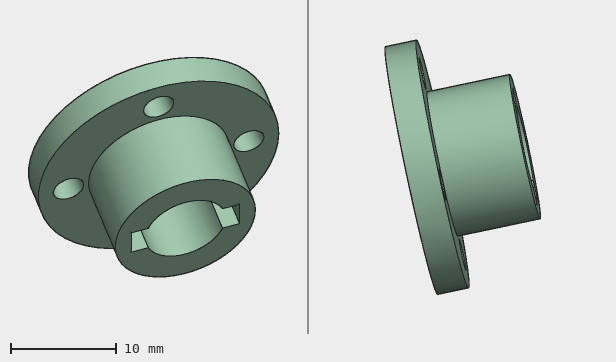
import cadquery as cq

flange_diameter = 24.0
flange_thickness = 3.0
hub_diameter = 14.0
total_length = 11.0

bore_diameter = 8.0
keyway_span = 10.8
keyway_width = 3.0

mount_hole_count = 4
mount_hole_diameter = 3.0
mount_circle_radius = 9.0


def axial_cylinder(diameter, length):
    """Cylinder on the X axis, starting at the flange face."""
    return cq.Workplane("YZ").circle(diameter / 2).extrude(length)


flange = axial_cylinder(flange_diameter, flange_thickness)
hub = axial_cylinder(hub_diameter, total_length)
bore = axial_cylinder(bore_diameter, total_length)

keyways = cq.Workplane("YZ").rect(keyway_span, keyway_width).extrude(total_length)

mount_holes = (
    cq.Workplane("YZ")
    .polarArray(mount_circle_radius, 0, 360, mount_hole_count)
    .circle(mount_hole_diameter / 2)
    .extrude(flange_thickness)
)

result = flange.union(hub).cut(bore).cut(keyways).cut(mount_holes)